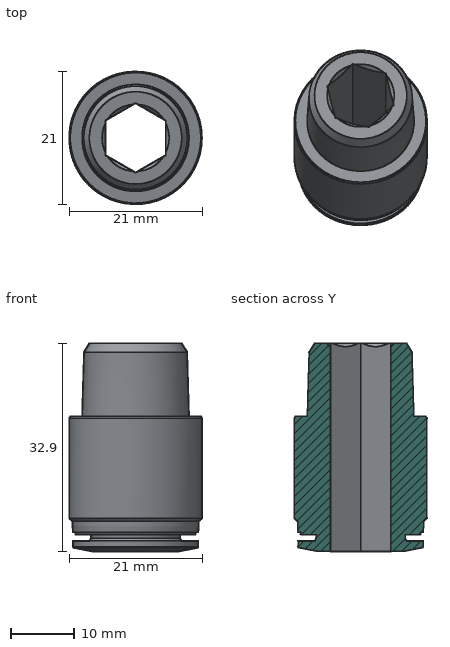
import cadquery as cq
import math

total_height = 32.9
flange_bevel_bottom = 0.6
flange_bevel_top = 0.75
flange_top = 1.68
flare_top = 2.07
collar_bottom = 2.63
collar_chamfer_top = 2.73
collar_step = 3.03
collar_taper_top = 4.0
collar_top = 4.77
sleeve_bottom = 5.25
sleeve_top = 21.4
nose_chamfer_bottom = 31.5

bottom_face_diameter = 13.55
flange_bevel_diameter = 19.67
flange_diameter = 19.8
flare_diameter = 14.6
neck_diameter = 14.1
collar_bottom_diameter = 18.82
collar_lip_diameter = 19.0
collar_step_diameter = 19.8
collar_diameter = 20.0
sleeve_diameter = 21.0
nose_base_diameter = 16.9
nose_shoulder_diameter = 16.32
nose_tip_diameter = 14.57

sleeve_chamfer_width = 0.2
sleeve_chamfer_height = 0.33

hex_across_flats = 9.48
lead_in_diameter = 10.6
lead_in_half_angle = 45.0

sleeve_rim_diameter = sleeve_diameter - 2 * sleeve_chamfer_width
hex_across_corners = hex_across_flats / math.cos(math.pi / 6)


def turned_body():
    """Revolve the stepped outer profile, listed from bottom to top."""
    steps = [
        (bottom_face_diameter, 0),
        (flange_bevel_diameter, flange_bevel_bottom),
        (flange_diameter, flange_bevel_top),
        (flange_diameter, flange_top),
        (flare_diameter, flange_top),
        (neck_diameter, flare_top),
        (neck_diameter, collar_bottom),
        (collar_bottom_diameter, collar_bottom),
        (collar_lip_diameter, collar_chamfer_top),
        (collar_lip_diameter, collar_step),
        (collar_step_diameter, collar_step),
        (collar_diameter, collar_taper_top),
        (collar_diameter, collar_top),
        (sleeve_diameter, sleeve_bottom),
        (sleeve_diameter, sleeve_top - sleeve_chamfer_height),
        (sleeve_rim_diameter, sleeve_top),
        (nose_base_diameter, sleeve_top),
        (nose_shoulder_diameter, nose_chamfer_bottom),
        (nose_tip_diameter, total_height),
    ]
    outline = [(diameter / 2, height) for diameter, height in steps]
    profile = cq.Workplane("XZ").polyline([(0, 0)] + outline + [(0, total_height)]).close()
    return profile.revolve(360, (0, 0, 0), (0, 1, 0))


def hex_hole():
    """Hexagonal prism with two corners on the Y axis."""
    hexagon = cq.Workplane("XY").polygon(6, hex_across_corners)
    return hexagon.extrude(total_height).rotate((0, 0, 0), (0, 0, 1), 90)


def lead_in():
    """Cone that narrows downward to a point, easing the hexagon's upper edges."""
    radius = lead_in_diameter / 2
    depth = radius / math.tan(math.radians(lead_in_half_angle))
    triangle = cq.Workplane("XZ").polyline(
        [(0, total_height), (radius, total_height), (0, total_height - depth)]
    )
    return triangle.close().revolve(360, (0, 0, 0), (0, 1, 0))


result = turned_body().cut(hex_hole()).cut(lead_in())